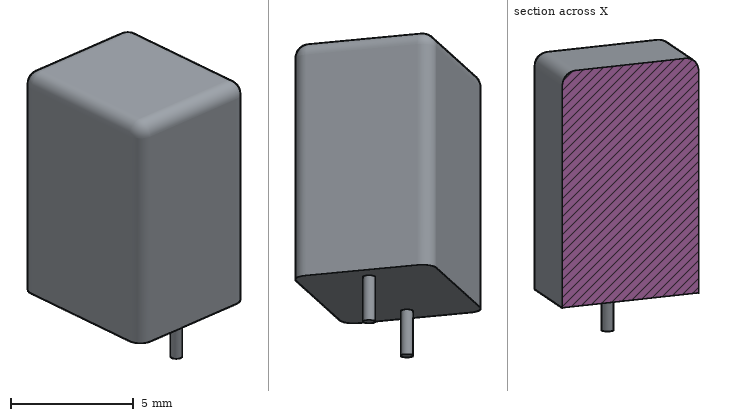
import cadquery as cq

case_length = 7.0
case_width = 6.0
case_height = 10.0
edge_radius = 0.6

lead_pitch = 5.0
lead_diameter = 0.5
lead_length = 1.9


def make_case():
    """Block with rounded upright and top edges and a sharp bottom rim."""
    block = cq.Workplane("XY").box(
        case_length, case_width, case_height, centered=(True, True, False)
    )
    return block.edges("|Z or >Z").fillet(edge_radius)


def make_leads():
    """Two round leads hanging from the underside, spaced along X."""
    return (
        cq.Workplane("XY")
        .pushPoints([(-lead_pitch / 2, 0), (lead_pitch / 2, 0)])
        .circle(lead_diameter / 2)
        .extrude(-lead_length)
    )


result = make_case().union(make_leads())